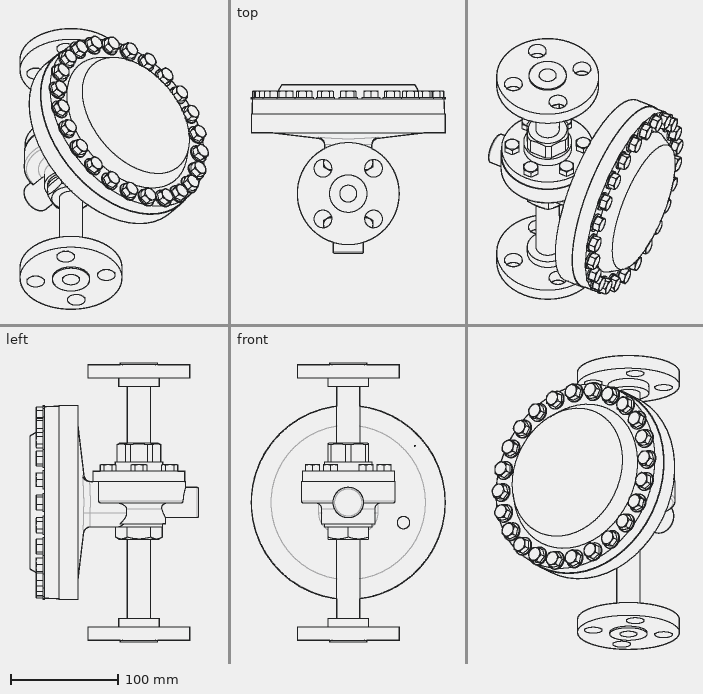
import cadquery as cq
import math


FACE_TO_FACE = 260.35
FLANGE_DIA = 95.25
FLANGE_THICK = 12.7
RAISED_FACE_DIA = 34.9
RAISED_FACE_HEIGHT = 1.5875
FLANGE_HUB_DIA = 38.1
FLANGE_HUB_LENGTH = 7.9
FLANGE_BORE_DIA = 15.8
FLANGE_HOLE_DIA = 16.5
FLANGE_BOLT_CIRCLE_DIA = 66.7
FLANGE_HOLE_COUNT = 4
FLANGE_FIRST_HOLE_ANGLE = 45
FLANGE_HEIGHT = RAISED_FACE_HEIGHT + FLANGE_THICK + FLANGE_HUB_LENGTH

HEX_BEVEL_ANGLE = 30.0

PIPE_DIA = 21.8
PIPE_END_Z = FACE_TO_FACE / 2 - FLANGE_HEIGHT

NUT_FLATS = 38.0
NUT_FACE_DIA = 36.0
LOWER_NUT_BOTTOM_Z = -34.5
LOWER_NUT_TOP_Z = -22.9
STEM_BOTTOM_Z = -19.9
STEM_RADIUS = 24.9
SPIGOT_RADIUS = 22.1
BOWL_BOTTOM_Z = -0.5
BOWL_TOP_Z = 19.5
BOWL_RADIUS = 43.6
BOWL_EDGE_FILLET = 2.0
STEM_FILLET = 5.5
COVER_TOP_Z = 29.1
COVER_RADIUS = 42.9
COLLAR_TOP_Z = 37.9
COLLAR_RADIUS = 22.3
UPPER_NUT_TOP_Z = 55.3
UPPER_NUT_CORNER_DIA = 41.1

COVER_BOLT_COUNT = 6
COVER_BOLT_CIRCLE_RADIUS = 33.2
COVER_BOLT_FLATS = 13.0
COVER_BOLT_FACE_DIA = 12.6
COVER_BOLT_HEIGHT = 6.3

BOSS_RADIUS = 14.2
BOSS_END_Y = -55.65
BOSS_EDGE_FILLET = 1.5

NECK_WIDTH = 44.2
NECK_TOP_Z = BOWL_TOP_Z
NECK_BOTTOM_Z = LOWER_NUT_TOP_Z
NECK_CORNER_RADIUS = 12.9
NECK_FILLET = 6.2

CONE_APEX_Y = 48.1
CONE_RADIUS = 72.0
DISC_FRONT_Y = 56.7
DISC_RADIUS = 90.55
DISC_JOINT_Y = 74.4
BACK_PLATE_FRONT_RADIUS = 89.9
BACK_PLATE_REAR_RADIUS = 89.4
BACK_PLATE_REAR_Y = 88.1
OVERALL_DEPTH = 157.31
DISC_REAR_Y = BOSS_END_Y + OVERALL_DEPTH
DOME_TOP_RADIUS = 62.1
DOME_TAPER = 30.0
DOME_HEIGHT = DISC_REAR_Y - BACK_PLATE_REAR_Y
DOME_BASE_RADIUS = DOME_TOP_RADIUS + DOME_HEIGHT * math.tan(math.radians(DOME_TAPER))

DISC_BOLT_COUNT = 24
DISC_BOLT_CIRCLE_RADIUS = 82.0
WASHER_RADIUS = DISC_RADIUS - DISC_BOLT_CIRCLE_RADIUS
WASHER_THICK = 1.5
DISC_BOLT_FLATS = 12.7
DISC_BOLT_FACE_DIA = 12.3
DISC_BOLT_TURN = -15.0
DISC_BOLT_TOP_Y = 95.9

PORT_X = 51.5
PORT_Z = -18.8
PORT_DIA = 11.6
PORT_END_Y = 65.0


def cylinder(radius, bottom_z, top_z):
    """Solid cylinder on the Z axis."""
    return cq.Workplane("XY").workplane(offset=bottom_z).circle(radius).extrude(top_z - bottom_z)


def hexagon(flats, height):
    """Hexagonal prism standing on Z = 0 with two flats facing +X and -X."""
    corner_dia = flats / math.cos(math.radians(30))
    prism = cq.Workplane("XY").polygon(6, corner_dia).extrude(height)
    return prism.rotate((0, 0, 0), (0, 0, 1), 30)


def beveled_hexagon(flats, face_dia, height):
    """Hexagon standing on Z = 0 with its top corners turned down to a round end face."""
    face_radius = face_dia / 2
    base_radius = face_radius + height / math.tan(math.radians(HEX_BEVEL_ANGLE))
    bevel_cone = cq.Workplane(cq.Solid.makeCone(base_radius, face_radius, height))
    return hexagon(flats, height).intersect(bevel_cone)


def make_flange():
    """Flange with its raised face on Z = 0 and its hub toward +Z."""
    plate_top_z = RAISED_FACE_HEIGHT + FLANGE_THICK
    holes = (
        cq.Workplane("XY")
        .polarArray(FLANGE_BOLT_CIRCLE_DIA / 2, FLANGE_FIRST_HOLE_ANGLE, 360, FLANGE_HOLE_COUNT)
        .circle(FLANGE_HOLE_DIA / 2)
        .extrude(plate_top_z)
    )
    return (
        cylinder(RAISED_FACE_DIA / 2, 0, RAISED_FACE_HEIGHT)
        .union(cylinder(FLANGE_DIA / 2, RAISED_FACE_HEIGHT, plate_top_z))
        .union(cylinder(FLANGE_HUB_DIA / 2, plate_top_z, FLANGE_HEIGHT))
        .cut(cylinder(FLANGE_BORE_DIA / 2, 0, FLANGE_HEIGHT))
        .cut(holes)
    )


def make_disc():
    """Chamber disc with its front cone and rear dome, turned about the Y direction."""
    return (
        cq.Workplane("XY")
        .moveTo(0, CONE_APEX_Y)
        .lineTo(CONE_RADIUS, DISC_FRONT_Y)
        .lineTo(DISC_RADIUS, DISC_FRONT_Y)
        .lineTo(DISC_RADIUS, DISC_JOINT_Y)
        .lineTo(BACK_PLATE_FRONT_RADIUS, DISC_JOINT_Y)
        .lineTo(BACK_PLATE_REAR_RADIUS, BACK_PLATE_REAR_Y)
        .lineTo(DOME_BASE_RADIUS, BACK_PLATE_REAR_Y)
        .lineTo(DOME_TOP_RADIUS, DISC_REAR_Y)
        .lineTo(0, DISC_REAR_Y)
        .close()
        .revolve(360, (0, 0, 0), (0, 1, 0))
    )


def make_neck():
    """Arm from the valve axis into the disc, with rounded lower edges."""
    height = NECK_TOP_Z - NECK_BOTTOM_Z
    return (
        cq.Workplane("XY")
        .box(NECK_WIDTH, DISC_FRONT_Y, height, centered=(True, False, False))
        .translate((0, 0, NECK_BOTTOM_Z))
        .edges("|Y and <Z")
        .fillet(NECK_CORNER_RADIUS)
    )


def make_disc_and_neck():
    """Disc and neck joined by a fillet where the neck meets the cone."""
    joined = make_disc().union(make_neck())
    around_joint = cq.selectors.BoxSelector(
        (-CONE_RADIUS / 2, CONE_APEX_Y, -CONE_RADIUS / 2),
        (CONE_RADIUS / 2, DISC_FRONT_Y, CONE_RADIUS / 2),
    )
    return joined.edges(around_joint).fillet(NECK_FILLET)


def make_disc_bolts():
    """Hexagon bolt heads on washers around the rear of the disc."""
    washer_rear_y = BACK_PLATE_REAR_Y + WASHER_THICK
    head_height = DISC_BOLT_TOP_Y - washer_rear_y
    head = beveled_hexagon(DISC_BOLT_FLATS, DISC_BOLT_FACE_DIA, head_height)
    bolt = head.union(cylinder(WASHER_RADIUS, -WASHER_THICK, 0))
    seed = (
        bolt.rotate((0, 0, 0), (0, 0, 1), DISC_BOLT_TURN)
        .rotate((0, 0, 0), (1, 0, 0), -90)
        .translate((0, washer_rear_y, DISC_BOLT_CIRCLE_RADIUS))
    )
    step = 360 / DISC_BOLT_COUNT
    return [seed.rotate((0, 0, 0), (0, 1, 0), i * step) for i in range(DISC_BOLT_COUNT)]


def make_bowl():
    """Valve bowl and its stem, turned about the Z axis, with the inner corner and rim rounded."""
    profile = (
        cq.Workplane("XZ")
        .moveTo(0, STEM_BOTTOM_Z)
        .lineTo(STEM_RADIUS, STEM_BOTTOM_Z)
        .lineTo(STEM_RADIUS, BOWL_BOTTOM_Z - STEM_FILLET)
        .radiusArc((STEM_RADIUS + STEM_FILLET, BOWL_BOTTOM_Z), STEM_FILLET)
        .lineTo(BOWL_RADIUS - BOWL_EDGE_FILLET, BOWL_BOTTOM_Z)
        .radiusArc((BOWL_RADIUS, BOWL_BOTTOM_Z + BOWL_EDGE_FILLET), -BOWL_EDGE_FILLET)
        .lineTo(BOWL_RADIUS, BOWL_TOP_Z)
        .lineTo(0, BOWL_TOP_Z)
        .close()
    )
    return profile.revolve(360, (0, 0, 0), (0, 1, 0))


def make_boss():
    """Round boss on the -Y side of the bowl with a rounded end."""
    boss = cq.Workplane("XZ").circle(BOSS_RADIUS).extrude(-BOSS_END_Y)
    return boss.faces("<Y").edges().fillet(BOSS_EDGE_FILLET)


def make_lower_nut():
    """Hexagon below the stem with its bevel facing down."""
    nut = beveled_hexagon(NUT_FLATS, NUT_FACE_DIA, LOWER_NUT_TOP_Z - LOWER_NUT_BOTTOM_Z)
    return nut.rotate((0, 0, 0), (1, 0, 0), 180).translate((0, 0, LOWER_NUT_TOP_Z))


def make_upper_nut():
    """Hexagon above the collar with its bevel facing up and its corners turned to a cylinder."""
    nut = beveled_hexagon(NUT_FLATS, NUT_FACE_DIA, UPPER_NUT_TOP_Z - COLLAR_TOP_Z)
    turned = cylinder(UPPER_NUT_CORNER_DIA / 2, COLLAR_TOP_Z, UPPER_NUT_TOP_Z)
    return nut.translate((0, 0, COLLAR_TOP_Z)).intersect(turned)


def make_cover_bolts():
    """Hexagon bolt heads around the cover."""
    head = beveled_hexagon(COVER_BOLT_FLATS, COVER_BOLT_FACE_DIA, COVER_BOLT_HEIGHT)
    seed = head.translate((COVER_BOLT_CIRCLE_RADIUS, 0, COVER_TOP_Z))
    step = 360 / COVER_BOLT_COUNT
    return [seed.rotate((0, 0, 0), (0, 0, 1), i * step) for i in range(COVER_BOLT_COUNT)]


def make_valve():
    """Valve body with its disc, cover, nuts, bolts and both pipes."""
    port = (
        cq.Workplane("XZ", origin=(PORT_X, PORT_END_Y, PORT_Z))
        .circle(PORT_DIA / 2)
        .extrude(PORT_END_Y - CONE_APEX_Y)
    )
    valve = make_disc_and_neck().cut(port)
    parts = [
        make_bowl(),
        make_boss(),
        cylinder(SPIGOT_RADIUS, LOWER_NUT_TOP_Z, STEM_BOTTOM_Z),
        make_lower_nut(),
        cylinder(COVER_RADIUS, BOWL_TOP_Z, COVER_TOP_Z),
        cylinder(COLLAR_RADIUS, COVER_TOP_Z, COLLAR_TOP_Z),
        make_upper_nut(),
        cylinder(PIPE_DIA / 2, UPPER_NUT_TOP_Z, PIPE_END_Z),
        cylinder(PIPE_DIA / 2, -PIPE_END_Z, LOWER_NUT_BOTTOM_Z),
    ]
    for part in parts + make_cover_bolts() + make_disc_bolts():
        valve = valve.union(part)
    return valve


valve = make_valve()

flanges = []
for turn in (0, 180):
    flange = make_flange().translate((0, 0, -FACE_TO_FACE / 2))
    flanges.append(flange.rotate((0, 0, 0), (1, 0, 0), turn))

result = cq.Compound.makeCompound([valve.val(), *[flange.val() for flange in flanges]])